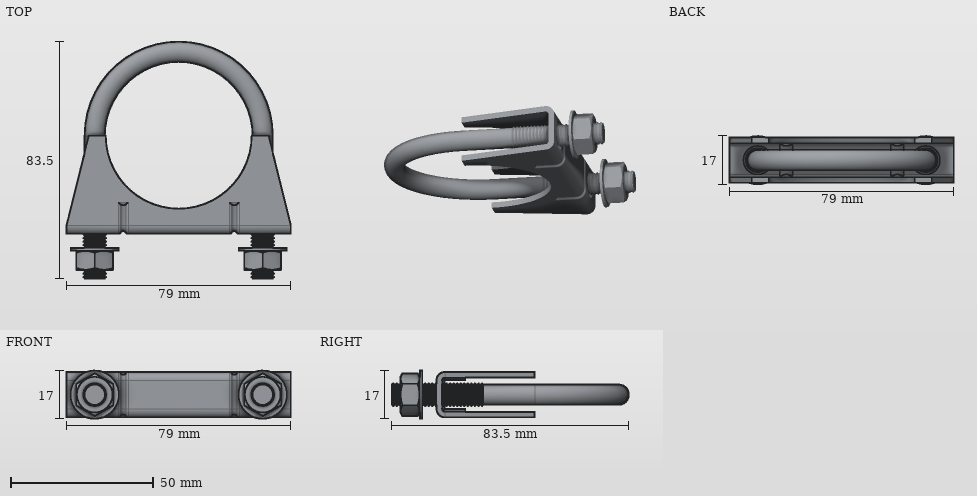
import cadquery as cq
import math


bow_top = 33.15
rod_diameter = 7.2
thread_diameter = 8.0
leg_spacing = 2 * bow_top - rod_diameter
overall_length = 83.5
leg_length = overall_length - bow_top
thread_length = 32.5
thread_ring_count = 26
thread_pitch = thread_length / thread_ring_count
thread_root_width = 0.4

saddle_width = 79.0
saddle_height = 16.0
saddle_depth = 34.6
saddle_tip_width = 63.3
saddle_arc_radius = 25.6
sheet_thickness = 2.0
bend_radius = 3.0
bolt_hole_diameter = 10.0

bead_spacing = 39.1
bead_start = 23.4
bead_radius = 1.0

washer_seat = 39.5
washer_diameter = 17.0
washer_hole_diameter = 8.4
washer_thickness = 0.9
nut_flats = 13.0
nut_height = 6.85
nut_chamfer_diameter = 12.5
nut_chamfer_angle = 30.0

bead_depth = bead_radius
bead_half_width = bead_radius * math.sqrt(3)
bead_blend_place = bead_half_width / 2
bead_end = bead_start + bead_radius
rib_radius = bead_radius + sheet_thickness
rib_half_width = math.sqrt(rib_radius**2 - sheet_thickness**2)
bead_quarter_offset = bead_radius * math.sqrt(0.5)

leg_places = (-leg_spacing / 2, leg_spacing / 2)
bead_places = (-bead_spacing / 2, bead_spacing / 2)


def cylinder_along_leg(x, y_start, length, diameter):
    """Cylinder on a bolt-leg axis, running from y_start towards -Y."""
    return cq.Workplane("XZ", origin=(x, y_start, 0)).circle(diameter / 2).extrude(length)


def make_threaded_leg(x):
    """Plain shank that ends in a row of sharp-crested thread rings."""
    root = rod_diameter / 2
    crest = thread_diameter / 2
    thread_start = thread_length - leg_length
    outline = cq.Workplane("XY").moveTo(0, 0).lineTo(root, 0).lineTo(root, thread_start)
    for ring in range(thread_ring_count):
        ring_middle = thread_start - (ring + 0.5) * thread_pitch
        half_base = (thread_pitch - thread_root_width) / 2
        outline = (
            outline.lineTo(root, ring_middle + half_base)
            .lineTo(crest, ring_middle)
            .lineTo(root, ring_middle - half_base)
        )
    outline = outline.lineTo(root, -leg_length).lineTo(0, -leg_length).close()
    return outline.revolve(360, (0, 0, 0), (0, 1, 0)).translate((x, 0, 0))


def make_u_bolt():
    """Half-ring bow joined to two threaded legs."""
    bow = (
        cq.Workplane("XZ", origin=(leg_spacing / 2, 0, 0))
        .circle(rod_diameter / 2)
        .revolve(180, (-leg_spacing / 2, 0, 0), (-leg_spacing / 2, 1, 0))
    )
    for x in leg_places:
        bow = bow.union(make_threaded_leg(x))
    return bow


def make_folded_channel():
    """U-shaped channel of constant sheet thickness, open towards +Y."""
    outside = (
        cq.Workplane("XY")
        .box(saddle_width, saddle_depth, saddle_height)
        .edges("|X and <Y")
        .fillet(bend_radius)
    )
    inside = (
        cq.Workplane("XY")
        .box(saddle_width, saddle_depth, saddle_height - 2 * sheet_thickness)
        .edges("|X and <Y")
        .fillet(bend_radius - sheet_thickness)
        .translate((0, sheet_thickness, 0))
    )
    return outside.cut(inside).translate((0, -saddle_depth / 2, 0))


def make_saddle_blank():
    """Plan outline of the saddle: tapered sides and a round seat for the pipe."""
    taper_start = bend_radius - saddle_depth
    return (
        cq.Workplane("XY", origin=(0, 0, -saddle_height / 2))
        .moveTo(-saddle_width / 2, -saddle_depth)
        .lineTo(saddle_width / 2, -saddle_depth)
        .lineTo(saddle_width / 2, taper_start)
        .lineTo(saddle_tip_width / 2, 0)
        .lineTo(saddle_arc_radius, 0)
        .threePointArc((0, -saddle_arc_radius), (-saddle_arc_radius, 0))
        .lineTo(-saddle_tip_width / 2, 0)
        .lineTo(-saddle_width / 2, taper_start)
        .close()
        .extrude(saddle_height)
    )


def groove_profile(workplane):
    """Groove section, cut along -Y of the workplane from a straight mouth at zero."""
    convex_middle = (bead_half_width - bead_radius / 2, bead_half_width / 2 - bead_radius)
    return (
        workplane.moveTo(-bead_half_width, 0)
        .threePointArc((-convex_middle[0], convex_middle[1]), (-bead_blend_place, -bead_depth / 2))
        .threePointArc((0, -bead_depth), (bead_blend_place, -bead_depth / 2))
        .threePointArc(convex_middle, (bead_half_width, 0))
        .close()
    )


def rib_profile(workplane):
    """Rib section: the circular segment that keeps full sheet thickness below the groove, rising along -Y."""
    return (
        workplane.moveTo(-rib_half_width, 0)
        .threePointArc((0, -bead_depth), (rib_half_width, 0))
        .close()
    )


def make_bead_groove(x):
    """Groove along the outside of the channel, following both bends, with rounded mouth ends."""
    top = saddle_height / 2
    bend_start = bend_radius - saddle_depth
    corner_offset = bend_radius * math.sqrt(0.5)
    path = (
        cq.Workplane("YZ", origin=(x, 0, 0))
        .moveTo(-bead_start, top)
        .lineTo(bend_start, top)
        .threePointArc(
            (bend_start - corner_offset, top - bend_radius + corner_offset),
            (-saddle_depth, top - bend_radius),
        )
        .lineTo(-saddle_depth, bend_radius - top)
        .threePointArc(
            (bend_start - corner_offset, bend_radius - top - corner_offset),
            (bend_start, -top),
        )
        .lineTo(-bead_start, -top)
    )
    groove = groove_profile(cq.Workplane("XZ", origin=(x, -bead_start, top))).sweep(path)
    round_middle_y = -bead_start - bead_quarter_offset
    round_middle_z = top - bead_radius + bead_quarter_offset
    end_envelope = (
        cq.Workplane("YZ", origin=(x - bead_half_width, 0, 0))
        .moveTo(-saddle_depth, top)
        .lineTo(-bead_start, top)
        .threePointArc((round_middle_y, round_middle_z), (-bead_end, top - bead_depth))
        .lineTo(-bead_end, bead_depth - top)
        .threePointArc((round_middle_y, -round_middle_z), (-bead_start, -top))
        .lineTo(-saddle_depth, -top)
        .close()
        .extrude(2 * bead_half_width)
    )
    return groove.intersect(end_envelope)


def make_bead_rib(x):
    """Ridge on the inside of the channel, pushed in behind the groove."""
    inner_top = saddle_height / 2 - sheet_thickness
    inner_wall = sheet_thickness - saddle_depth
    upper = rib_profile(cq.Workplane("XZ", origin=(x, -bead_end, inner_top))).extrude(-bead_end - inner_wall)
    lower = upper.mirror("XY")
    back_plane = cq.Plane(origin=(x, inner_wall, -inner_top), xDir=(-1, 0, 0), normal=(0, 0, 1))
    back = rib_profile(cq.Workplane(back_plane)).extrude(2 * inner_top)
    return upper.union(lower).union(back)


def make_saddle():
    """Folded channel trimmed to its outline, with two beads and two bolt holes."""
    saddle = make_folded_channel().intersect(make_saddle_blank())
    for x in bead_places:
        saddle = saddle.union(make_bead_rib(x)).cut(make_bead_groove(x))
    for x in leg_places:
        hole = cylinder_along_leg(x, sheet_thickness - saddle_depth, sheet_thickness, bolt_hole_diameter)
        saddle = saddle.cut(hole)
    return saddle


def make_washer(x):
    """Flat washer around a bolt leg."""
    washer = cylinder_along_leg(x, -washer_seat, washer_thickness, washer_diameter)
    return washer.cut(cylinder_along_leg(x, -washer_seat, washer_thickness, washer_hole_diameter))


def make_nut(x):
    """Hexagon nut with two corners along Z, conical chamfers on both ends and a thread to match its leg."""
    corner_radius = nut_flats / math.sqrt(3)
    chamfer_radius = nut_chamfer_diameter / 2
    chamfer_height = (corner_radius - chamfer_radius) * math.tan(math.radians(nut_chamfer_angle))
    hexagon = cq.Workplane("XY").polygon(6, 2 * corner_radius).extrude(nut_height)
    chamfer_envelope = (
        cq.Workplane("XZ")
        .lineTo(chamfer_radius, 0)
        .lineTo(corner_radius, chamfer_height)
        .lineTo(corner_radius, nut_height - chamfer_height)
        .lineTo(chamfer_radius, nut_height)
        .lineTo(0, nut_height)
        .close()
        .revolve(360, (0, 0, 0), (0, 1, 0))
    )
    nut = (
        hexagon.rotate((0, 0, 0), (0, 0, 1), 90)
        .intersect(chamfer_envelope)
        .rotate((0, 0, 0), (1, 0, 0), 90)
        .translate((x, -washer_seat - washer_thickness, 0))
    )
    return nut.cut(make_threaded_leg(x))


u_bolt = make_u_bolt()
saddle = make_saddle()
washers = [make_washer(x).val() for x in leg_places]
nuts = [make_nut(x).val() for x in leg_places]

result = cq.Compound.makeCompound([u_bolt.val(), saddle.val(), *washers, *nuts])